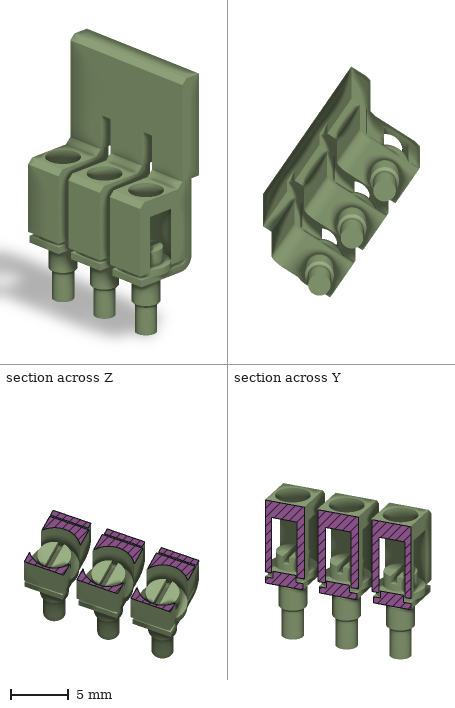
import cadquery as cq


SCREW_COUNT = 3
PITCH = 5.102
screw_xs = [(i - (SCREW_COUNT - 1) / 2) * PITCH for i in range(SCREW_COUNT)]

BAR_WIDTH = 13.8
BAR_TOP = 23.35
BAR_BACK = 4.65
BAR_DEPTH = 7.12
PLATE_THICKNESS = 2.0
PLATE_HEIGHT = 9.57
CHAMFER = 0.5
INNER_BEVEL = 0.54
LEG_TOP = 13.25
LEG_BOTTOM = 6.4
LEG_GAP = 1.21
LEG_GAP_TOP = 16.98

bar_front = BAR_BACK - BAR_DEPTH
plate_front = BAR_BACK - PLATE_THICKNESS
plate_bottom = BAR_TOP - PLATE_HEIGHT

ACCESS_DIAMETER = 3.1
POCKET_DIAMETER = 4.4
POCKET_TOP = 11.65

STRIP_THICKNESS = 0.63
STRIP_GAP = 0.1
STRIP_BACK_INSET = 0.89
STRIP_FRONT_INSET = 0.16
STRIP_BEND = 1.25
STRIP_BOTTOM = 5.35

strip_width = BAR_WIDTH - (SCREW_COUNT - 1) * PITCH
strip_back = BAR_BACK - STRIP_BACK_INSET
strip_front = bar_front + STRIP_FRONT_INSET
strip_inner = strip_back - STRIP_THICKNESS
strip_top_face = STRIP_BOTTOM + STRIP_THICKNESS
leg_back = strip_inner - STRIP_GAP

HEAD_DIAMETER = 2.92
HEAD_TOP = 7.99
FLANGE_DIAMETER = 4.3
FLANGE_TOP = 6.63
NECK_DIAMETER = 2.15
BODY_DIAMETER = 2.5
BODY_TOP = 4.95
BODY_BOTTOM = 2.87
TIP_DIAMETER = 1.94
DRIVE_SLOT_WIDTH = 0.58
DRIVE_SLOT_DEPTH = 0.7

tip_shoulder = (BODY_DIAMETER - TIP_DIAMETER) / 2


def extrude_across(profile, width, center_x=0):
    """Extrude a YZ profile symmetrically about X = center_x."""
    return profile.extrude(width / 2, both=True).translate((center_x, 0, 0))


def cylinder(x, diameter, bottom, top):
    """Upright cylinder on the screw axis at x."""
    return cq.Workplane("XY", origin=(x, 0, bottom)).circle(diameter / 2).extrude(top - bottom)


def make_bar():
    profile = (
        cq.Workplane("YZ")
        .moveTo(BAR_BACK, plate_bottom)
        .lineTo(BAR_BACK, BAR_TOP)
        .lineTo(plate_front + CHAMFER, BAR_TOP)
        .lineTo(plate_front, BAR_TOP - CHAMFER)
        .lineTo(plate_front, LEG_TOP + INNER_BEVEL)
        .lineTo(plate_front - INNER_BEVEL, LEG_TOP)
        .lineTo(bar_front + CHAMFER, LEG_TOP)
        .lineTo(bar_front, LEG_TOP - CHAMFER)
        .lineTo(bar_front, LEG_BOTTOM)
        .lineTo(leg_back, LEG_BOTTOM)
        .lineTo(leg_back, plate_bottom)
        .close()
    )
    bar = extrude_across(profile, BAR_WIDTH)

    for left_x, right_x in zip(screw_xs, screw_xs[1:]):
        gap_x = (left_x + right_x) / 2
        gap_y = (BAR_BACK + bar_front) / 2
        gap = (
            cq.Workplane("XY", origin=(gap_x, gap_y, LEG_BOTTOM))
            .rect(LEG_GAP, BAR_DEPTH)
            .extrude(LEG_GAP_TOP - LEG_BOTTOM)
        )
        bar = bar.cut(gap)

    for x in screw_xs:
        bar = bar.cut(cylinder(x, POCKET_DIAMETER, LEG_BOTTOM, POCKET_TOP))
        bar = bar.cut(cylinder(x, ACCESS_DIAMETER, POCKET_TOP, LEG_TOP))
    return bar


def make_strip(x):
    """L-shaped spring strip hanging from the plate and carrying the screw."""
    bend_center_y = strip_back - STRIP_BEND
    bend_center_z = STRIP_BOTTOM + STRIP_BEND
    inner_bend = STRIP_BEND - STRIP_THICKNESS
    profile = (
        cq.Workplane("YZ")
        .moveTo(strip_back, plate_bottom)
        .lineTo(strip_back, bend_center_z)
        .radiusArc((bend_center_y, STRIP_BOTTOM), STRIP_BEND)
        .lineTo(strip_front, STRIP_BOTTOM)
        .lineTo(strip_front, strip_top_face)
        .lineTo(bend_center_y, strip_top_face)
        .radiusArc((strip_inner, bend_center_z), -inner_bend)
        .lineTo(strip_inner, plate_bottom)
        .close()
    )
    return extrude_across(profile, strip_width, x)


def make_screw(x):
    """Stepped screw turned about its axis, with a straight drive slot along Y."""
    half_profile = (
        cq.Workplane("XZ")
        .moveTo(0, 0)
        .lineTo(TIP_DIAMETER / 2, 0)
        .lineTo(TIP_DIAMETER / 2, BODY_BOTTOM - tip_shoulder)
        .lineTo(BODY_DIAMETER / 2, BODY_BOTTOM)
        .lineTo(BODY_DIAMETER / 2, BODY_TOP)
        .lineTo(NECK_DIAMETER / 2, STRIP_BOTTOM)
        .lineTo(NECK_DIAMETER / 2, strip_top_face)
        .lineTo(FLANGE_DIAMETER / 2, strip_top_face)
        .lineTo(FLANGE_DIAMETER / 2, FLANGE_TOP)
        .lineTo(HEAD_DIAMETER / 2, FLANGE_TOP)
        .lineTo(HEAD_DIAMETER / 2, HEAD_TOP)
        .lineTo(0, HEAD_TOP)
        .close()
    )
    drive_slot = (
        cq.Workplane("XY", origin=(0, 0, HEAD_TOP - DRIVE_SLOT_DEPTH))
        .rect(DRIVE_SLOT_WIDTH, HEAD_DIAMETER)
        .extrude(DRIVE_SLOT_DEPTH)
    )
    screw = half_profile.revolve(360, (0, 0), (0, 1)).cut(drive_slot)
    return screw.translate((x, 0, 0))


result = make_bar()
for screw_x in screw_xs:
    result = result.union(make_strip(screw_x)).union(make_screw(screw_x))